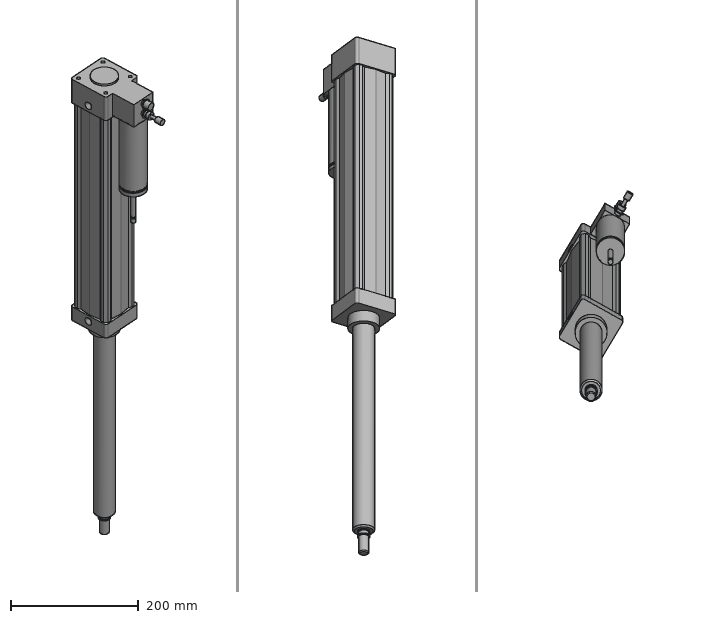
import cadquery as cq


total_height = 894.0
cover_thickness = 4.0
head_top = total_height - cover_thickness
head_bottom = 844.0
gearbox_bottom = 847.0
cap_top = 445.0
cap_bottom = 418.0
collar_bottom = 400.0
rod_end = 39.0
lower_ring_bottom = 29.5

block_width = 75.0
block_corner_radius = 4.5
cover_diameter = 45.0
screw_hole_spacing = 57.0
screw_hole_diameter = 6.0
screw_hole_depth = 8.0
collar_diameter = 50.0
port_diameter = 13.0
port_depth = port_diameter / 2
head_port_height = 856.0
cap_port_height = 434.0

tube_width = 71.0
facet_half_width = 20.0
facet_drop = 3.0
rail_inner = 25.0
rail_outer = 30.0

gearbox_width = 45.0
gearbox_end = 82.0
plain_gland_height = 882.0
cable_gland_height = 864.0
gland_neck_diameter = 11.0
gland_neck_length = 4.5
gland_washer_diameter = 16.0
gland_washer_thickness = 1.0
gland_body_diameter = 13.0
gland_length = 16.0
cable_gland_waist_length = 4.5
cable_diameter = 6.0
plug_diameter = 11.0
plug_length = 12.0
plug_end = 122.5

motor_x = 61.0
motor_diameter = gearbox_width
motor_bottom = 704.0
motor_groove_diameter = 41.0
motor_groove_width = 3.0
motor_base_thickness = 7.0
motor_shaft_diameter = 8.0
motor_shaft_end = 638.0
motor_shaft_groove_diameter = 6.0
motor_shaft_groove_width = 3.0
motor_shaft_tip_length = 8.0

rod_diameter = 35.0
rod_chamfer = 3.0
ring_diameter = 20.0
ring_thickness = 2.0
stud_diameter = 16.0
stud_chamfer = 2.0


def upright_cylinder(diameter, bottom, top, x=0.0):
    """Cylinder parallel to Z between two heights."""
    return cq.Workplane("XY", origin=(x, 0, bottom)).circle(diameter / 2).extrude(top - bottom)


def sideways_cylinder(diameter, start, end, height):
    """Cylinder parallel to X in the plane of symmetry, at a given height."""
    return cq.Workplane("YZ", origin=(start, 0, height)).circle(diameter / 2).extrude(end - start)


def square_block(bottom, top):
    """Square end block with rounded upright edges."""
    block = cq.Workplane("XY", origin=(0, 0, bottom)).rect(block_width, block_width).extrude(top - bottom)
    return block.edges("|Z").fillet(block_corner_radius)


def profiled_tube():
    """Tube whose four sides each have a shallow central ridge between two corner rails."""
    half = tube_width / 2
    valley = half - facet_drop
    side = [
        (-rail_outer, half),
        (-rail_inner, half),
        (-facet_half_width, valley),
        (0, half),
        (facet_half_width, valley),
        (rail_inner, half),
        (rail_outer, half),
    ]
    outline = list(side)
    for _ in range(3):
        side = [(y, -x) for x, y in side]
        outline += side
    return cq.Workplane("XY", origin=(0, 0, cap_top)).polyline(outline).close().extrude(head_bottom - cap_top)


def port(height):
    """Conical port cut into the -Y side of an end block."""
    cone = cq.Solid.makeCone(
        port_diameter / 2, 0, port_depth, pnt=cq.Vector(0, -block_width / 2, height), dir=cq.Vector(0, 1, 0)
    )
    return cq.Workplane(cone)


def gland(height, waist_length=0.0):
    """Connector on the gearbox end: neck and body split by a washer, with an optional waist after it."""
    washer_start = gearbox_end + gland_neck_length
    washer_end = washer_start + gland_washer_thickness
    body_start = washer_end + waist_length
    neck = sideways_cylinder(gland_neck_diameter, gearbox_end, body_start, height)
    washer = sideways_cylinder(gland_washer_diameter, washer_start, washer_end, height)
    body = sideways_cylinder(gland_body_diameter, body_start, gearbox_end + gland_length, height)
    return neck.union(washer).union(body)


def cable_with_plug():
    """Cable leaving the lower gland and ending in a plug."""
    plug_start = plug_end - plug_length
    cable = sideways_cylinder(cable_diameter, gearbox_end + gland_length, plug_start, cable_gland_height)
    plug = sideways_cylinder(plug_diameter, plug_start, plug_end, cable_gland_height)
    return cable.union(plug)


def build_housing():
    """Head, gearbox arm, tube, front cap and collar as one body."""
    head = square_block(head_bottom, head_top)
    gearbox = cq.Workplane("XY", origin=(0, 0, gearbox_bottom)).box(
        gearbox_end, gearbox_width, head_top - gearbox_bottom, centered=(False, True, False)
    )
    housing = head.union(gearbox)
    housing = housing.union(upright_cylinder(cover_diameter, head_top, total_height))
    housing = housing.union(profiled_tube())
    housing = housing.union(square_block(cap_bottom, cap_top))
    housing = housing.union(upright_cylinder(collar_diameter, collar_bottom, cap_bottom))
    housing = housing.union(gland(plain_gland_height))
    housing = housing.union(gland(cable_gland_height, cable_gland_waist_length))
    housing = housing.union(cable_with_plug())
    for height in (head_port_height, cap_port_height):
        housing = housing.cut(port(height))
    screw_holes = (
        cq.Workplane("XY", origin=(0, 0, head_top))
        .rect(screw_hole_spacing, screw_hole_spacing, forConstruction=True)
        .vertices()
        .circle(screw_hole_diameter / 2)
        .extrude(-screw_hole_depth)
    )
    return housing.cut(screw_holes)


def build_motor():
    """Motor can with a groove above its base, and a grooved shaft below."""
    groove_bottom = motor_bottom + motor_base_thickness
    groove_top = groove_bottom + motor_groove_width
    base = upright_cylinder(motor_diameter, motor_bottom, groove_bottom, motor_x)
    groove = upright_cylinder(motor_groove_diameter, groove_bottom, groove_top, motor_x)
    can = upright_cylinder(motor_diameter, groove_top, gearbox_bottom, motor_x)

    tip_top = motor_shaft_end + motor_shaft_tip_length
    shaft_bottom = tip_top + motor_shaft_groove_width
    shaft = upright_cylinder(motor_shaft_diameter, shaft_bottom, motor_bottom, motor_x)
    shaft_groove = upright_cylinder(motor_shaft_groove_diameter, tip_top, shaft_bottom, motor_x)
    tip = upright_cylinder(motor_shaft_diameter, motor_shaft_end, tip_top, motor_x)
    return can.union(groove).union(base).union(shaft).union(shaft_groove).union(tip)


def build_rod():
    """Rod running from the collar face to a narrow stud with two thin rings."""
    rod = upright_cylinder(rod_diameter, rod_end, collar_bottom).faces("<Z").chamfer(rod_chamfer)
    stud = upright_cylinder(stud_diameter, 0, rod_end).faces("<Z").chamfer(stud_chamfer)
    rod = rod.union(stud)
    for ring_bottom in (lower_ring_bottom, rod_end - ring_thickness):
        rod = rod.union(upright_cylinder(ring_diameter, ring_bottom, ring_bottom + ring_thickness))
    return rod


housing = build_housing()
motor = build_motor()
rod = build_rod()

result = cq.Compound.makeCompound([housing.val(), motor.val(), rod.val()])